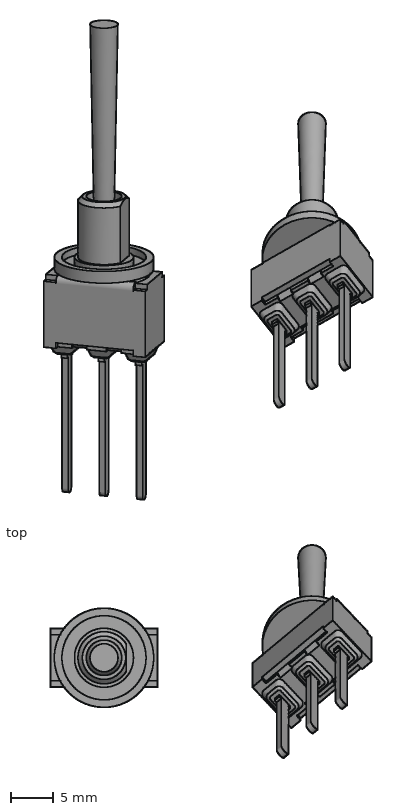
import cadquery as cq

overall_height = 58.4
bushing_top = 37.1
flange_top = 29.55
flange_bottom = 28.1
cover_top = 27.7
body_top = 27.55
shoulder_level = 26.9
cover_bottom = 19.45
body_bottom = 18.75
bead_bottom = 17.45
blade_shoulder = 16.9

body_length = 12.7
body_width = 6.95
ridge_width = 5.5
cover_length = 9.7
cover_edge_radius = 0.9
notch_inner = 1.2
notch_outer = 3.1
notch_depth = 0.6
base_width = 5.5

neck_diameter = 11.0
neck_width = 5.4
neck_taper = 20.0
flange_diameter = 11.8
groove_outer_diameter = 10.0
groove_inner_diameter = 7.0
groove_depth = 0.9
bushing_diameter = 6.2
bushing_chamfer = 0.5
bushing_flat_offset = 2.6
bore_diameter = 4.2

lever_top_diameter = 3.3
lever_bottom_diameter = 2.2

terminal_pitch = 4.7
terminal_count = 3
bead_length = 3.15
bead_width = 4.55
bead_corner_radius = 0.7
bead_taper = 20.0
bead_chamfer = 0.3
blade_thickness = 0.75
blade_width = 1.3
blade_root_width = 2.0


def block(length, width, bottom, top):
    """Box centred on the Z axis between two levels."""
    return cq.Workplane("XY").workplane(offset=bottom).rect(length, width).extrude(top - bottom)


def disc(diameter, bottom, top):
    """Cylinder on the Z axis between two levels."""
    return cq.Workplane("XY").workplane(offset=bottom).circle(diameter / 2).extrude(top - bottom)


def make_body():
    """Housing ends with a narrower ridge on top, and an inset base between them."""
    body = block(body_length, body_width, body_bottom, shoulder_level)
    body = body.union(block(body_length, ridge_width, shoulder_level, body_top))
    body = body.cut(block(cover_length, body_width, body_bottom, body_top))
    base = block(cover_length, base_width, body_bottom, cover_bottom)
    notch = (
        cq.Workplane("YZ", origin=(notch_inner, 0, 0))
        .moveTo(base_width / 2, body_bottom)
        .lineTo(base_width / 2, cover_bottom)
        .lineTo(base_width / 2 - notch_depth, body_bottom)
        .close()
        .extrude(notch_outer - notch_inner)
    )
    for side in (notch, notch.mirror("XZ")):
        base = base.cut(side).cut(side.mirror("YZ"))
    return body.union(base)


def make_cover():
    """Cover strap over the middle of the housing, rounded along its upper long edges."""
    cover = block(cover_length, body_width, cover_bottom, cover_top)
    return cover.edges("|X and >Z").fillet(cover_edge_radius)


def make_neck():
    """Disc with two parallel tapered flats joining the cover to the flange."""
    base = cq.Workplane("XY", origin=(0, 0, body_top))
    height = flange_bottom - body_top
    neck = base.circle(neck_diameter / 2).extrude(height, taper=neck_taper)
    return neck.intersect(base.rect(neck_diameter, neck_width).extrude(height, taper=neck_taper))


def make_flange():
    """Round flange with a ring groove around a low central boss."""
    groove_floor = flange_top - groove_depth
    flange = disc(flange_diameter, flange_bottom, flange_top)
    flange = flange.cut(disc(groove_outer_diameter, groove_floor, flange_top))
    return flange.union(disc(groove_inner_diameter, groove_floor, flange_top))


def make_bushing():
    """Hollow bushing with a chamfered rim and one flat along its +X side."""
    bottom = flange_top - groove_depth
    bushing = disc(bushing_diameter, bottom, bushing_top)
    bushing = bushing.faces(">Z").edges().chamfer(bushing_chamfer)
    flat_limit = block(2 * bushing_diameter, bushing_diameter, bottom, bushing_top)
    bushing = bushing.intersect(flat_limit.translate((bushing_flat_offset - bushing_diameter, 0, 0)))
    return bushing.cut(disc(bore_diameter, flange_top, bushing_top))


def make_lever():
    """Round lever widening evenly to its tip, pivoting on a ball that fills the foot of the bore."""
    shaft = (
        cq.Workplane("XY", origin=(0, 0, flange_top))
        .circle(lever_bottom_diameter / 2)
        .workplane(offset=overall_height - flange_top)
        .circle(lever_top_diameter / 2)
        .loft()
    )
    ball = cq.Workplane("XY").sphere(bore_diameter / 2).translate((0, 0, flange_top))
    dome = ball.intersect(disc(bore_diameter, flange_top, bushing_top))
    return shaft.union(dome)


def make_terminal():
    """Flat blade with a wider root, a full-round tip and a tapered sealing bead under the housing."""
    bead = (
        cq.Workplane("XY", origin=(0, 0, body_bottom))
        .rect(bead_length, bead_width)
        .extrude(bead_bottom - body_bottom, taper=bead_taper)
        .edges("not #Z")
        .fillet(bead_corner_radius)
        .faces("<Z")
        .chamfer(bead_chamfer)
    )
    tip_radius = blade_width / 2
    root = block(blade_thickness, blade_root_width, blade_shoulder, body_bottom)
    blade = block(blade_thickness, blade_width, tip_radius, body_bottom)
    tip = (
        cq.Workplane("YZ")
        .center(0, tip_radius)
        .circle(tip_radius)
        .extrude(blade_thickness / 2, both=True)
    )
    return bead.union(root).union(blade).union(tip)


result = make_body()
for part in (make_cover(), make_neck(), make_flange(), make_bushing(), make_lever()):
    result = result.union(part)

terminal = make_terminal()
for index in range(terminal_count):
    terminal_x = (index - (terminal_count - 1) / 2) * terminal_pitch
    result = result.union(terminal.translate((terminal_x, 0, 0)))